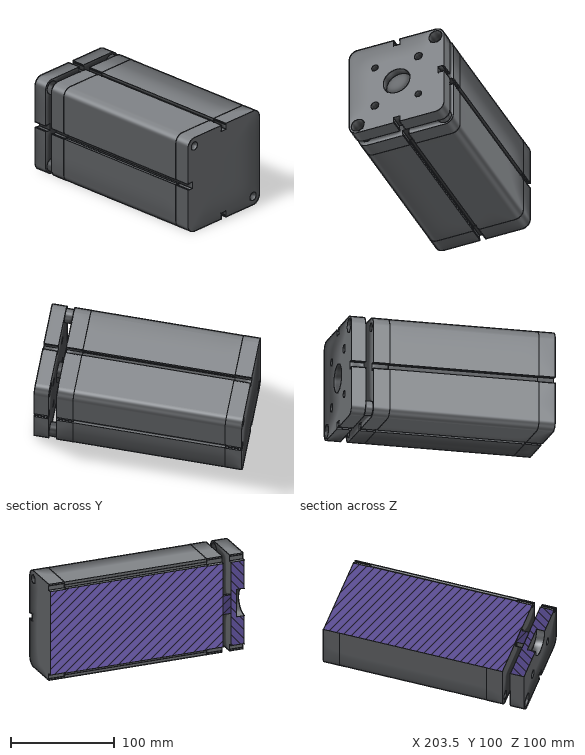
import cadquery as cq

total_length = 203.5
plate_thickness = 14.2
housing_start = 22.0
cap_length = 16.3
housing_length = total_length - housing_start
gap = housing_start - plate_thickness

side = 100.0
corner_radius = 9.0
tube_inset = 0.1

groove_mouth = 6.0
groove_width = 7.0
groove_depth = 6.3
groove_lip = 1.6
tube_groove_mouth = 5.5
tube_groove_width = 6.0
tube_groove_depth = 5.7
tube_groove_lip = 3.0
cutter_overshoot = 2.0
groove_angles = (0, 90, -90)

corner_offset = side / 2 - corner_radius
hole_corners = [(-corner_offset, corner_offset), (corner_offset, -corner_offset)]
guide_corners = [(-corner_offset, -corner_offset), (corner_offset, corner_offset)]
plate_access_diameter = 13.6
housing_hole_diameter = 8.5
guide_diameter = 14.0

fixing_offset = 45.8 / 2
pin_hole_diameter = 8.1
screw_hole_diameter = 6.7
recess_diameter = 28.0
recess_depth = 8.1

rod_diameter = 20.0
rod_across_flats = 17.0
flat_length = 6.5


def section_plane(x):
    """YZ plane at the given X, extruding toward +X; local axes are Y and Z."""
    return cq.Workplane("YZ", origin=(x, 0, 0))


def cylinders(x, length, diameter, points):
    """Cylinders along X, one at each (Y, Z) point."""
    return section_plane(x).pushPoints(points).circle(diameter / 2).extrude(length)


def grooves(x, length, half_side, mouth, width, depth, lip):
    """Cutters for the three grooves of a square section."""
    edge = half_side + cutter_overshoot
    outline = [
        (-edge, mouth / 2),
        (lip - half_side, mouth / 2),
        (lip - half_side, width / 2),
        (depth - half_side, width / 2),
        (depth - half_side, -width / 2),
        (lip - half_side, -width / 2),
        (lip - half_side, -mouth / 2),
        (-edge, -mouth / 2),
    ]
    groove = section_plane(x).polyline(outline).close().extrude(length)
    cutter = cq.Workplane()
    for angle in groove_angles:
        cutter = cutter.add(groove.rotate((0, 0, 0), (1, 0, 0), angle))
    return cutter.combine()


def rounded_block(x, length, width, radius):
    """Square bar along X with rounded long edges."""
    return section_plane(x).rect(width, width).extrude(length).edges("|X").fillet(radius)


def cap_section(x, length):
    """Grooved slice with the full square section."""
    cutter = grooves(x, length, side / 2, groove_mouth, groove_width, groove_depth, groove_lip)
    return rounded_block(x, length, side, corner_radius).cut(cutter)


def tube_section(x, length):
    """Grooved slice with the slightly smaller tube section."""
    width = side - 2 * tube_inset
    cutter = grooves(
        x, length, width / 2, tube_groove_mouth, tube_groove_width, tube_groove_depth, tube_groove_lip
    )
    return rounded_block(x, length, width, corner_radius - tube_inset).cut(cutter)


def make_housing():
    """Tube between two caps, with two through holes in opposite corners."""
    body = tube_section(housing_start + cap_length, housing_length - 2 * cap_length)
    for cap_start in (housing_start, total_length - cap_length):
        body = body.union(cap_section(cap_start, cap_length))
    return body.cut(cylinders(housing_start, housing_length, housing_hole_diameter, hole_corners))


def make_plate():
    """Front plate with corner access holes, fixing holes and a blind centring recess."""
    pin_points = [(-fixing_offset, fixing_offset), (fixing_offset, -fixing_offset)]
    screw_points = [(fixing_offset, fixing_offset), (-fixing_offset, -fixing_offset)]
    plate = cap_section(0, plate_thickness)
    plate = plate.cut(cylinders(0, plate_thickness, plate_access_diameter, hole_corners))
    plate = plate.cut(cylinders(0, plate_thickness, pin_hole_diameter, pin_points))
    plate = plate.cut(cylinders(0, plate_thickness, screw_hole_diameter, screw_points))
    return plate.cut(cylinders(0, recess_depth, recess_diameter, [(0, 0)]))


def make_piston_rod():
    """Round rod between plate and housing, flattened on -Y and +Y next to the plate."""
    rod = cylinders(plate_thickness, gap, rod_diameter, [(0, 0)])
    flatted_end = section_plane(plate_thickness).rect(rod_across_flats, rod_diameter).extrude(flat_length)
    round_end = cylinders(plate_thickness + flat_length, gap - flat_length, rod_diameter, [(0, 0)])
    return rod.intersect(flatted_end).union(round_end)


def make_guide_rod(point):
    """Guide rod between plate and housing."""
    return cylinders(plate_thickness, gap, guide_diameter, [point])


housing = make_housing()
plate = make_plate()
piston_rod = make_piston_rod()
guide_rods = [make_guide_rod(point) for point in guide_corners]

result = cq.Compound.makeCompound(
    [housing.val(), plate.val(), piston_rod.val(), *[rod.val() for rod in guide_rods]]
)